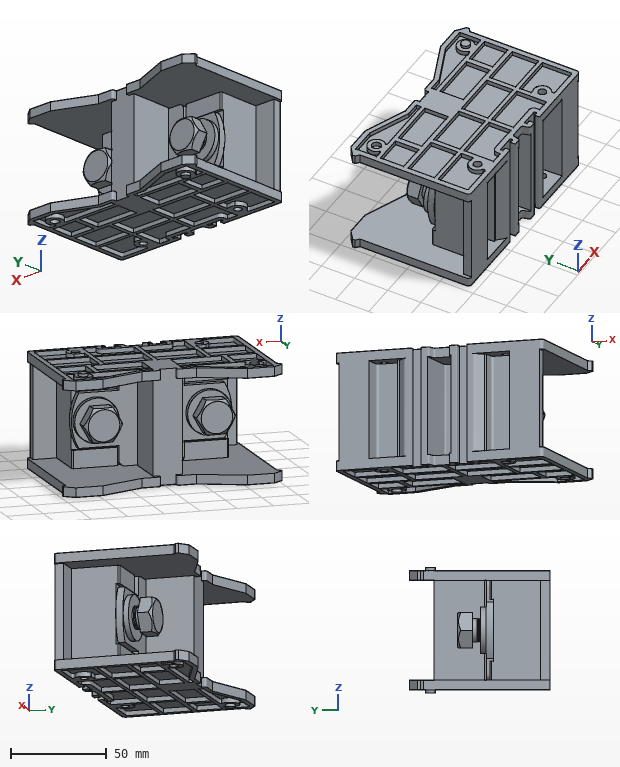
import cadquery as cq
import math

TOTAL_DEPTH = 73.5
INNER_WIDTH = 52.0
PLATE_THICKNESS = 5.2
PIN_HEIGHT = 1.6
INNER_HALF = INNER_WIDTH / 2
OUTER_HALF = INNER_HALF + PLATE_THICKNESS

PLATE_HALF_LENGTH = 58.0
PLATE_CORNER_RADIUS = 2.0
EAR_HALF_LENGTH = 60.0
EAR_LOW_START = 66.2
EAR_LOW_END = 67.8
EAR_HIGH_START = 69.3
CREST_OUTER_X = 54.6
CREST_INNER_X = 39.7
SHOULDER_X = 14.9
SHOULDER_Y = 63.4
NOTCH_HALF_WIDTH = 4.6
NOTCH_FLOOR_Y = 60.7
NOTCH_CORNER_RADIUS = 1.2

SLOT_OUTER_X = 15.4
SLOT_INNER_X = 10.1
UNDERCUT_OUTER_X = 17.7
UNDERCUT_INNER_X = 7.6
UNDERCUT_Y = 3.1
SLOT_TOP_Y = 4.5
SLOT_LIP_RADIUS = 1.0
SLOT_MOUTH_RADIUS = 0.3
FOOT_NOTCH_HALF_BOTTOM = 5.6
FOOT_NOTCH_HALF_TOP = 4.4
FOOT_NOTCH_RADIUS = 1.0

RIB_DEPTH = 2.5
CELL_CORNER_RADIUS = 0.6
PANEL_EDGE_X = 54.8
UPPER_POST_X = (35.8, 38.9)
LOWER_POST_X = (27.9, 30.6)
CENTRE_RIB_HALF = 1.35
SOLID_CENTRE_HALF = 8.0
UPPER_ROW = (41.6, 55.6)
MIDDLE_ROW = (23.1, 38.9)
LOWER_ROW = (3.0, 20.8)
WING_BOTTOM_Y = 58.0
WING_STEP_Y = NOTCH_FLOOR_Y
WING_TOP_Y = 70.5
WING_STEP_X = 16.0
FOOT_RIB_X = 20.7
FOOT_RIB_Y = 7.7
FOOT_RIB_RADIUS = 2.8

BOSS_RADIUS = 5.0
PIN_X = 47.0
PIN_Y = 62.5
PIN_RADIUS = 2.6
PIN_SOCKET_DEPTH = 2.4
PIN_NECK_HALF_WIDTH = 3.35
SCREW_X = 34.0
SCREW_Y = 9.0
SCREW_HOLE_RADIUS = 2.3
SCREW_NECK_X = 36.2
SCREW_NECK_Y = 13.7

FLANGE_HALF_LENGTH = PLATE_HALF_LENGTH - PLATE_CORNER_RADIUS
FLANGE_THICKNESS = 4.9
CORE_HALF_LENGTH = 43.0
CORE_TOP_Y = 31.4
CORE_CHAMFER = 0.8
BARRIER_HALF_LENGTH = SOLID_CENTRE_HALF
BARRIER_BOTTOM_Y = 34.2

WINDOW_OUTER_X = 39.2
WINDOW_INNER_X = 24.9
WINDOW_DEPTH = 11.3
WINDOW_RADIUS = 1.6
RECESS_DRAFT = 0.4
SILL_Y = 4.2
SILL_X = 23.65
RAMP_RADIUS = 1.85
CENTRE_RECESS_HALF = 6.5
CENTRE_RECESS_DEPTH = 25.0
CENTRE_RECESS_RADIUS = 0.8

BAR_TOP_Y = 33.4
BAR_THICKNESS = 3.9
BAR_BOTTOM_Y = BAR_TOP_Y - BAR_THICKNESS
BAR_WIDTH = 29.7
BAR_CHANNEL_WIDTH = 32.3
BAR_END_RADIUS = 30.0
BAR_TIP_X = 44.0
BAR_MIDDLE_HALF_LENGTH = 18.0
BAR_MIDDLE_RADIUS = 3.3
BOLT_X = 31.0
WASHER_RADIUS = 12.2
WASHER_TOP_Y = 36.3
THREAD_TOP_Y = 38.2
SHANK_RADIUS = 6.15
THREAD_DEPTH = 0.6
THREAD_RIDGES = 2
HEAD_BOTTOM_Y = 40.6
HEAD_TOP_Y = 48.4
HEAD_ACROSS_FLATS = 18.6
HEAD_ACROSS_CORNERS = HEAD_ACROSS_FLATS / math.cos(math.radians(30))
HEAD_CHAMFER_HEIGHT = 1.8
HEAD_CHAMFER_INSET = 2.1


def block(x_range, y_range, z_range):
    """Axis-aligned box; each range is a (low, high) pair."""
    lows = [low for low, high in (x_range, y_range, z_range)]
    sizes = [high - low for low, high in (x_range, y_range, z_range)]
    return cq.Workplane("XY").box(*sizes, centered=False).translate(tuple(lows))


def post(x, y, radius, z_range):
    """Round post along Z."""
    low, high = z_range
    return cq.Workplane("XY").workplane(offset=low).center(x, y).circle(radius).extrude(high - low)


def mirrored(shape):
    """The shape together with its mirror image across X = 0."""
    return shape.union(shape.mirror("YZ"))


def round_edge(shape, x, y, z, radius):
    """Fillet the edge whose middle lies nearest to the given point."""
    return shape.edges(cq.selectors.NearestToPointSelector((x, y, z))).fillet(radius)


FULL_Z = (-OUTER_HALF, OUTER_HALF)
INNER_Z = (-INNER_HALF, INNER_HALF)
RIB_Z = (OUTER_HALF - RIB_DEPTH, OUTER_HALF)
RIB_MIDDLE_Z = OUTER_HALF - RIB_DEPTH / 2


def side_plate():
    """One side plate, at the +Z end, before its ribs and foot slots are cut."""
    right_half = [
        (0, 0),
        (PLATE_HALF_LENGTH, 0),
        (PLATE_HALF_LENGTH, EAR_LOW_START),
        (EAR_HALF_LENGTH, EAR_LOW_END),
        (EAR_HALF_LENGTH, EAR_HIGH_START),
        (CREST_OUTER_X, TOTAL_DEPTH),
        (CREST_INNER_X, TOTAL_DEPTH),
        (SHOULDER_X, SHOULDER_Y),
        (NOTCH_HALF_WIDTH, SHOULDER_Y),
        (NOTCH_HALF_WIDTH, NOTCH_FLOOR_Y),
        (0, NOTCH_FLOOR_Y),
    ]
    half = cq.Workplane("XY").workplane(offset=INNER_HALF).polyline(right_half).close()
    half = half.extrude(PLATE_THICKNESS)
    middle_z = INNER_HALF + PLATE_THICKNESS / 2
    half = round_edge(half, PLATE_HALF_LENGTH, 0, middle_z, PLATE_CORNER_RADIUS)
    half = round_edge(half, NOTCH_HALF_WIDTH, SHOULDER_Y, middle_z, NOTCH_CORNER_RADIUS)
    return mirrored(half)


def wing_cell():
    """Sloped rib cell around the locating pin boss."""
    outline = [
        (PANEL_EDGE_X, WING_BOTTOM_Y),
        (PANEL_EDGE_X, WING_TOP_Y),
        (CREST_INNER_X, WING_TOP_Y),
        (WING_STEP_X, WING_STEP_Y),
        (SOLID_CENTRE_HALF, WING_STEP_Y),
        (SOLID_CENTRE_HALF, WING_BOTTOM_Y),
    ]
    cell = cq.Workplane("XY").workplane(offset=RIB_Z[0]).polyline(outline).close().extrude(RIB_DEPTH)
    neck_x = (PIN_X - PIN_NECK_HALF_WIDTH, PIN_X + PIN_NECK_HALF_WIDTH)
    neck = block(neck_x, (WING_BOTTOM_Y, PIN_Y), RIB_Z)
    cell = cell.cut(post(PIN_X, PIN_Y, BOSS_RADIUS, RIB_Z)).cut(neck)
    return round_edge(cell, neck_x[0], WING_BOTTOM_Y, RIB_MIDDLE_Z, CELL_CORNER_RADIUS)


def screw_cell():
    """Lower outer rib cell, cut back around the screw boss."""
    cell = block((LOWER_POST_X[1], PANEL_EDGE_X), LOWER_ROW, RIB_Z)
    neck = block((LOWER_POST_X[1], SCREW_NECK_X), (LOWER_ROW[0], SCREW_NECK_Y), RIB_Z)
    cell = cell.cut(post(SCREW_X, SCREW_Y, BOSS_RADIUS, RIB_Z)).cut(neck)
    for x in (SCREW_NECK_X, PANEL_EDGE_X):
        cell = round_edge(cell, x, LOWER_ROW[0], RIB_MIDDLE_Z, CELL_CORNER_RADIUS)
    return cell


def foot_cell():
    """Lower inner rib cell, following the rounded rib over the foot slot."""
    cell = block((CENTRE_RIB_HALF, LOWER_POST_X[0]), LOWER_ROW, RIB_Z)
    rib = block((-FOOT_RIB_X, FOOT_RIB_X), (0, FOOT_RIB_Y), RIB_Z)
    return cell.cut(rib.edges("|Z and >Y").fillet(FOOT_RIB_RADIUS))


def rib_cells():
    """All recessed cells on the outside of the +Z side plate."""
    cells = block((SOLID_CENTRE_HALF, UPPER_POST_X[0]), UPPER_ROW, RIB_Z)
    cells = cells.union(block((UPPER_POST_X[1], PANEL_EDGE_X), UPPER_ROW, RIB_Z))
    cells = cells.union(block((CENTRE_RIB_HALF, LOWER_POST_X[0]), MIDDLE_ROW, RIB_Z))
    cells = cells.union(block((LOWER_POST_X[1], PANEL_EDGE_X), MIDDLE_ROW, RIB_Z))
    for cell in (wing_cell(), screw_cell(), foot_cell()):
        cells = cells.union(cell)
    return mirrored(cells)


def finished_plate():
    """The +Z side plate with rib cells, locating pin and pin socket."""
    plate = side_plate().cut(rib_cells())
    plate = plate.union(post(PIN_X, PIN_Y, PIN_RADIUS, (RIB_Z[0], OUTER_HALF + PIN_HEIGHT)))
    return plate.cut(post(-PIN_X, PIN_Y, PIN_RADIUS, (OUTER_HALF - PIN_SOCKET_DEPTH, OUTER_HALF)))


def core():
    """Foot flange, chamfered core block and barrier between the terminals."""
    flange = block((-FLANGE_HALF_LENGTH, FLANGE_HALF_LENGTH), (0, FLANGE_THICKNESS), INNER_Z)
    middle = block((-CORE_HALF_LENGTH, CORE_HALF_LENGTH), (0, CORE_TOP_Y), INNER_Z)
    middle = middle.edges("|Z and >Y").chamfer(CORE_CHAMFER)
    barrier = block(
        (-BARRIER_HALF_LENGTH, BARRIER_HALF_LENGTH), (BARRIER_BOTTOM_Y, NOTCH_FLOOR_Y), INNER_Z
    )
    return flange.union(middle).union(barrier)


def bar_seat():
    """Recess for the bus bar: a wide middle and a narrower channel out to both ends."""
    seat_y = (BAR_BOTTOM_Y, CORE_TOP_Y)
    channel_z = (-BAR_CHANNEL_WIDTH / 2, BAR_CHANNEL_WIDTH / 2)
    wide = block((-BAR_MIDDLE_HALF_LENGTH, BAR_MIDDLE_HALF_LENGTH), seat_y, INNER_Z)
    return wide.union(block((-CORE_HALF_LENGTH, CORE_HALF_LENGTH), seat_y, channel_z))


def foot_slot():
    """T-slot along Z on the +X side of the foot, with a rounded outer lip."""
    neck = block((SLOT_INNER_X, SLOT_OUTER_X), (0, SLOT_TOP_Y), FULL_Z)
    slot = neck.union(block((UNDERCUT_INNER_X, UNDERCUT_OUTER_X), (UNDERCUT_Y, SLOT_TOP_Y), FULL_Z))
    return round_edge(slot, SLOT_OUTER_X, UNDERCUT_Y, 0, SLOT_LIP_RADIUS)


def foot_notch():
    """Tapered notch along Z in the middle of the foot."""
    outline = [
        (-FOOT_NOTCH_HALF_BOTTOM, 0),
        (FOOT_NOTCH_HALF_BOTTOM, 0),
        (FOOT_NOTCH_HALF_TOP, SLOT_TOP_Y),
        (-FOOT_NOTCH_HALF_TOP, SLOT_TOP_Y),
    ]
    notch = cq.Workplane("XY").workplane(offset=-OUTER_HALF).polyline(outline).close()
    notch = notch.extrude(2 * OUTER_HALF)
    return notch.edges("|Z and >Y").fillet(FOOT_NOTCH_RADIUS)


def cut_foot(body):
    """The body with its foot slots and notch cut and their mouth edges rounded."""
    body = body.cut(mirrored(foot_slot())).cut(foot_notch())
    mouth_edges = [
        (SLOT_OUTER_X, SLOT_MOUTH_RADIUS),
        (SLOT_INNER_X, SLOT_MOUTH_RADIUS),
        (FOOT_NOTCH_HALF_BOTTOM, FOOT_NOTCH_RADIUS),
    ]
    for x, radius in mouth_edges:
        body = round_edge(body, -x, 0, 0, radius)
        body = round_edge(body, x, 0, 0, radius)
    return body


def window():
    """Recess in the foot face on the +X side, with a sill and a ramp blended into the face."""
    turn = math.radians(45)
    blend_height = RAMP_RADIUS * (1 - math.cos(turn))
    ramp_end_x = SILL_X - (SILL_Y - blend_height)
    blend_end_x = ramp_end_x - RAMP_RADIUS * math.sin(turn)
    blend_mid = (
        blend_end_x + RAMP_RADIUS * math.sin(turn / 2),
        RAMP_RADIUS * (1 - math.cos(turn / 2)),
    )
    recess = (
        cq.Workplane("XY")
        .workplane(offset=-INNER_HALF)
        .moveTo(WINDOW_OUTER_X, 0)
        .lineTo(WINDOW_OUTER_X - RECESS_DRAFT, WINDOW_DEPTH)
        .lineTo(WINDOW_INNER_X + RECESS_DRAFT, WINDOW_DEPTH)
        .lineTo(WINDOW_INNER_X, SILL_Y)
        .lineTo(SILL_X, SILL_Y)
        .lineTo(ramp_end_x, blend_height)
        .threePointArc(blend_mid, (blend_end_x, 0))
        .close()
        .extrude(INNER_WIDTH)
    )
    return recess.edges("|Z and >Y").fillet(WINDOW_RADIUS)


def centre_recess():
    """Deep recess between the two rail feet."""
    floor_half = CENTRE_RECESS_HALF - RECESS_DRAFT
    outline = [
        (-CENTRE_RECESS_HALF, 0),
        (CENTRE_RECESS_HALF, 0),
        (floor_half, CENTRE_RECESS_DEPTH),
        (-floor_half, CENTRE_RECESS_DEPTH),
    ]
    recess = cq.Workplane("XY").workplane(offset=-INNER_HALF).polyline(outline).close()
    recess = recess.extrude(INNER_WIDTH)
    return recess.edges("|Z and >Y").fillet(CENTRE_RECESS_RADIUS)


def make_housing():
    plate = finished_plate()
    opposite_plate = plate.rotate((0, 0, 0), (0, 1, 0), 180)
    body = core().cut(bar_seat()).union(plate).union(opposite_plate)
    body = cut_foot(body)
    body = body.cut(mirrored(window())).cut(centre_recess())
    return body.cut(mirrored(post(SCREW_X, SCREW_Y, SCREW_HOLE_RADIUS, FULL_Z)))


def bus_bar():
    """Flat bar with arched ends and a wider middle with rounded corners."""
    half_width = BAR_WIDTH / 2
    shoulder_x = BAR_TIP_X - (BAR_END_RADIUS - math.sqrt(BAR_END_RADIUS**2 - half_width**2))
    bar = (
        cq.Workplane("XZ", origin=(0, BAR_TOP_Y, 0))
        .moveTo(-shoulder_x, -half_width)
        .lineTo(shoulder_x, -half_width)
        .threePointArc((BAR_TIP_X, 0), (shoulder_x, half_width))
        .lineTo(-shoulder_x, half_width)
        .threePointArc((-BAR_TIP_X, 0), (-shoulder_x, -half_width))
        .close()
        .extrude(BAR_THICKNESS)
    )
    middle = block(
        (-BAR_MIDDLE_HALF_LENGTH, BAR_MIDDLE_HALF_LENGTH), (BAR_BOTTOM_Y, BAR_TOP_Y), INNER_Z
    )
    return bar.union(middle.edges("|Y").fillet(BAR_MIDDLE_RADIUS))


def bolt(x):
    """Hexagon bolt along Y with its washer, standing on the bar at the given X."""
    profile = cq.Workplane("XY").moveTo(0, BAR_TOP_Y).lineTo(WASHER_RADIUS, BAR_TOP_Y)
    profile = profile.lineTo(WASHER_RADIUS, WASHER_TOP_Y).lineTo(SHANK_RADIUS, WASHER_TOP_Y)
    pitch = (THREAD_TOP_Y - WASHER_TOP_Y) / THREAD_RIDGES
    for ridge in range(THREAD_RIDGES):
        ridge_start = WASHER_TOP_Y + ridge * pitch
        profile = profile.lineTo(SHANK_RADIUS - THREAD_DEPTH, ridge_start + pitch / 2)
        profile = profile.lineTo(SHANK_RADIUS, ridge_start + pitch)
    profile = profile.lineTo(SHANK_RADIUS, HEAD_BOTTOM_Y).lineTo(0, HEAD_BOTTOM_Y).close()
    stem = profile.revolve(360, (0, 0, 0), (0, 1, 0))

    corner_radius = HEAD_ACROSS_CORNERS / 2
    head_height = HEAD_TOP_Y - HEAD_BOTTOM_Y
    head_plane = cq.Workplane("XZ", origin=(0, HEAD_TOP_Y, 0))
    head = head_plane.polygon(6, HEAD_ACROSS_CORNERS).extrude(head_height)
    rounding = head_plane.circle(corner_radius).extrude(head_height)
    rounding = rounding.faces(">Y").chamfer(HEAD_CHAMFER_HEIGHT, HEAD_CHAMFER_INSET)
    return stem.union(head.intersect(rounding)).translate((x, 0, 0))


def make_conductor():
    conductor = bus_bar()
    for x in (-BOLT_X, BOLT_X):
        conductor = conductor.union(bolt(x))
    return conductor


housing = make_housing()
conductor = make_conductor()

result = cq.Compound.makeCompound([housing.val(), conductor.val()])